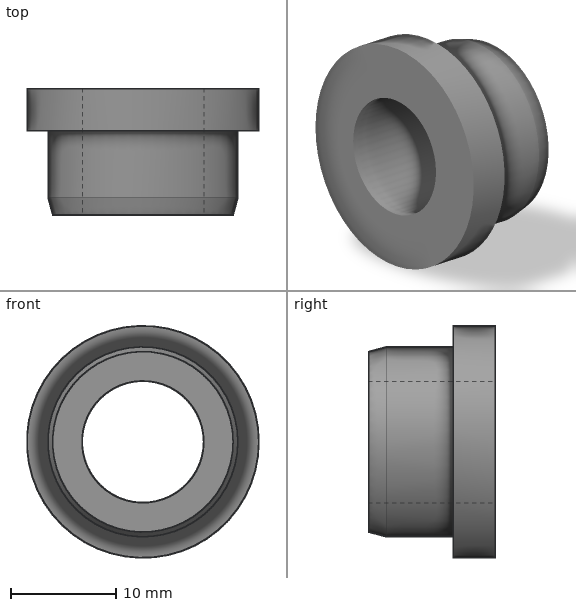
import cadquery as cq
import math

flange_diameter = 22.0
flange_thickness = 4.0
overall_length = 12.0
sleeve_diameter = 18.0
bore_diameter = 11.5
taper_length = 1.67
taper_angle = 15.0

flange_radius = flange_diameter / 2
sleeve_radius = sleeve_diameter / 2
bore_radius = bore_diameter / 2
nose_radius = sleeve_radius - taper_length * math.tan(math.radians(taper_angle))
shoulder_y = overall_length - flange_thickness

half_section = (
    cq.Workplane("XY")
    .moveTo(bore_radius, 0)
    .lineTo(nose_radius, 0)
    .lineTo(sleeve_radius, taper_length)
    .lineTo(sleeve_radius, shoulder_y)
    .lineTo(flange_radius, shoulder_y)
    .lineTo(flange_radius, overall_length)
    .lineTo(bore_radius, overall_length)
    .close()
)

result = half_section.revolve(360, (0, 0, 0), (0, 1, 0))